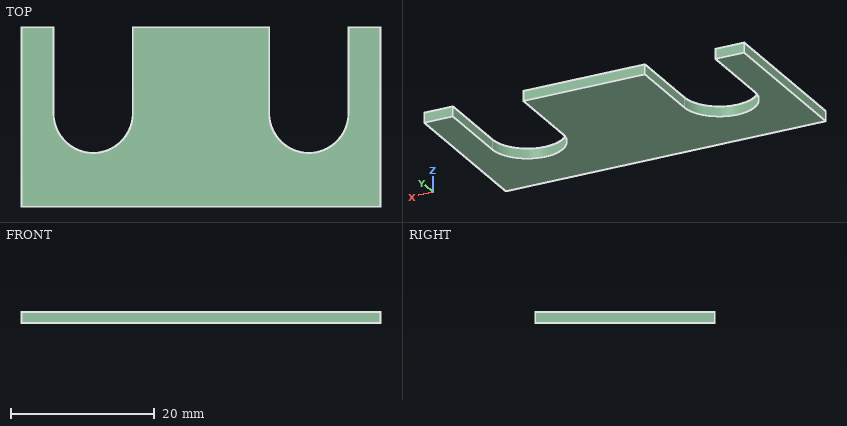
import cadquery as cq

length = 50.0
width = 25.0
thickness = 1.57

slot_width = 11.0
slot_spacing = 30.0
slot_depth = 17.5

slot_radius = slot_width / 2
back_edge_y = width / 2
slot_center_y = back_edge_y - slot_depth + slot_radius


def make_plate():
    """Flat rectangular plate centred on the origin."""
    return cq.Workplane("XY").box(length, width, thickness)


def make_slot(center_x):
    """U-shaped cutter with a round inner end, open at the +Y edge."""
    left_x = center_x - slot_radius
    right_x = center_x + slot_radius
    return (
        cq.Workplane("XY")
        .moveTo(left_x, back_edge_y)
        .lineTo(left_x, slot_center_y)
        .threePointArc((center_x, slot_center_y - slot_radius), (right_x, slot_center_y))
        .lineTo(right_x, back_edge_y)
        .close()
        .extrude(thickness, both=True)
    )


result = make_plate()
for slot_x in (-slot_spacing / 2, slot_spacing / 2):
    result = result.cut(make_slot(slot_x))